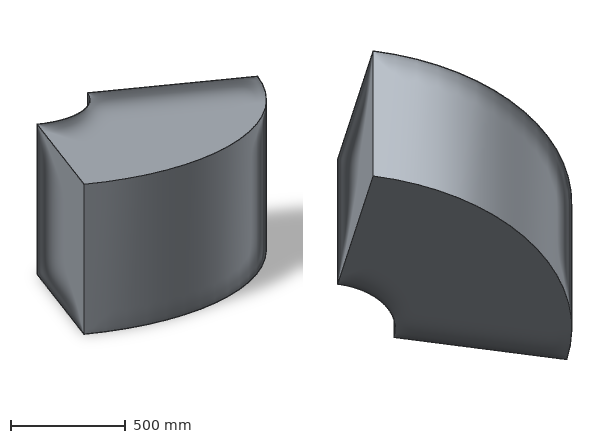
import cadquery as cq

outer_radius = 1085.0
inner_radius = 315.0
height = 700.0
sweep_angle = 90

radial_width = outer_radius - inner_radius
section = (
    cq.Workplane("XZ")
    .moveTo(inner_radius, 0)
    .rect(radial_width, height, centered=False)
)
result = section.revolve(sweep_angle, (0, 0, 0), (0, 1, 0))